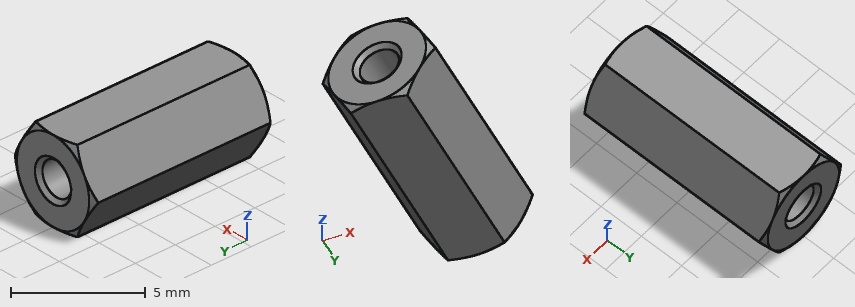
import cadquery as cq
import math

length = 9.0
across_flats = 4.0
bore_diameter = 1.6
countersink_diameter = 2.0
countersink_angle = 45.0
corner_chamfer_angle = 30.0

across_corners = across_flats / math.cos(math.radians(30))
half_length = length / 2
flat_radius = across_flats / 2
corner_radius = across_corners / 2
bore_radius = bore_diameter / 2
countersink_radius = countersink_diameter / 2
countersink_depth = (countersink_radius - bore_radius) / math.tan(math.radians(countersink_angle))
chamfer_depth = (corner_radius - flat_radius) * math.tan(math.radians(corner_chamfer_angle))


def hexagonal_bar():
    """Hexagon with corners on +X and -X, centred along Y."""
    return cq.Workplane("XZ").polygon(6, across_corners).extrude(half_length, both=True)


def turned_envelope():
    """Revolved section: coned ends outside, countersunk bore inside."""
    section = [
        (bore_radius, half_length - countersink_depth),
        (countersink_radius, half_length),
        (flat_radius, half_length),
        (corner_radius, half_length - chamfer_depth),
        (corner_radius, chamfer_depth - half_length),
        (flat_radius, -half_length),
        (countersink_radius, -half_length),
        (bore_radius, countersink_depth - half_length),
    ]
    return cq.Workplane("XY").polyline(section).close().revolve(360, (0, 0, 0), (0, 1, 0))


result = hexagonal_bar().intersect(turned_envelope())